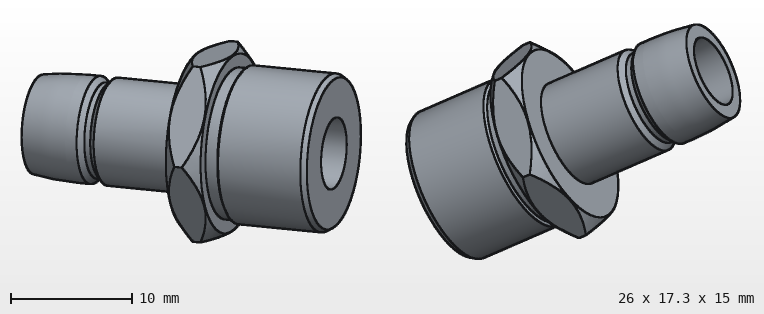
import cadquery as cq
import math

LENGTH = 26.0
NOSE_END = 4.0
GROOVE_FLOOR_START = 5.49
GROOVE_FLOOR_END = 6.0
HEX_START = 14.0
HEX_WIDTH = 3.07
NECK_END = 18.1

BORE_RADIUS = 3.0
NOSE_TIP_RADIUS = 4.15
SPIGOT_RADIUS = 4.5
GROOVE_RADIUS = 4.0
NECK_RADIUS = 6.32
BODY_RADIUS = 6.6
ACROSS_FLATS = 15.0
HEX_FACE_RADIUS = 7.45

BODY_REAR_CHAMFER = 0.18
BODY_END_CHAMFER = 0.47

HEX_END = HEX_START + HEX_WIDTH
CORNER_RADIUS = ACROSS_FLATS / math.sqrt(3)


def nose_arc_midpoint():
    """Middle of the nose arc, which runs tangent into the cylindrical spigot."""
    drop = SPIGOT_RADIUS - NOSE_TIP_RADIUS
    arc_radius = (NOSE_END**2 + drop**2) / (2 * drop)
    half_angle = math.asin(NOSE_END / arc_radius) / 2
    x = NOSE_END - arc_radius * math.sin(half_angle)
    radius = SPIGOT_RADIUS - arc_radius * (1 - math.cos(half_angle))
    return x, radius


def revolve_about_x(profile):
    return profile.close().revolve(360, (0, 0, 0), (1, 0, 0))


def make_turned_body():
    """Spigot with rounded nose and 45 degree groove, neck and large body."""
    groove_depth = SPIGOT_RADIUS - GROOVE_RADIUS
    profile = (
        cq.Workplane("XZ")
        .moveTo(0, 0)
        .lineTo(0, NOSE_TIP_RADIUS)
        .threePointArc(nose_arc_midpoint(), (NOSE_END, SPIGOT_RADIUS))
        .lineTo(GROOVE_FLOOR_START - groove_depth, SPIGOT_RADIUS)
        .lineTo(GROOVE_FLOOR_START, GROOVE_RADIUS)
        .lineTo(GROOVE_FLOOR_END, GROOVE_RADIUS)
        .lineTo(GROOVE_FLOOR_END + groove_depth, SPIGOT_RADIUS)
        .lineTo(HEX_START, SPIGOT_RADIUS)
        .lineTo(HEX_START, NECK_RADIUS)
        .lineTo(NECK_END, NECK_RADIUS)
        .lineTo(NECK_END + BODY_REAR_CHAMFER, BODY_RADIUS)
        .lineTo(LENGTH - BODY_END_CHAMFER, BODY_RADIUS)
        .lineTo(LENGTH, NECK_RADIUS)
        .lineTo(LENGTH, 0)
    )
    return revolve_about_x(profile)


def make_hex():
    """Hexagon with corners on +Y and -Y, turned to 45 degrees on both faces."""
    prism = (
        cq.Workplane("YZ")
        .workplane(offset=HEX_START)
        .polygon(6, 2 * CORNER_RADIUS)
        .extrude(HEX_WIDTH)
    )
    cone_radius = HEX_FACE_RADIUS + HEX_WIDTH / 2
    envelope = (
        cq.Workplane("XZ")
        .moveTo(HEX_START, 0)
        .lineTo(HEX_START, HEX_FACE_RADIUS)
        .lineTo(HEX_START + HEX_WIDTH / 2, cone_radius)
        .lineTo(HEX_END, HEX_FACE_RADIUS)
        .lineTo(HEX_END, 0)
    )
    return prism.intersect(revolve_about_x(envelope))


bore = cq.Workplane("YZ").circle(BORE_RADIUS).extrude(LENGTH)
result = make_turned_body().union(make_hex()).cut(bore)